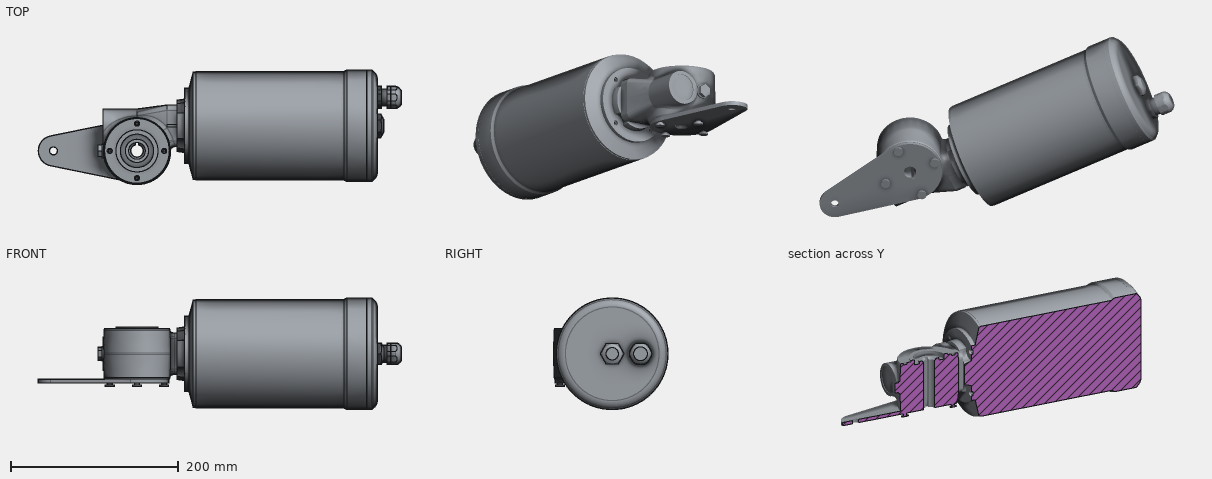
import cadquery as cq
import math


gear_y = -30.0
gear_mid_radius = 40.2
parting_band = 1.5
gear_end_radius = 39.5
gear_half_height = 30.3
gear_chamfer = 1.7
rim_radius = 25.0
rim_height = 1.7
recess_radius = 20.0
recess_floor_z = 25.5
hub_radius = 14.0
hub_top_z = 28.5
hub_mouth_radius = 10.0
bore_radius = 7.5
keyway_width = 4.0
keyway_reach = 10.0
bolt_offset = 32.5
bolt_hole_diameter = 6.0
bolt_hole_depth = 2.0
bolt_socket_diameter = 3.25
bolt_socket_depth = 2.0

oil_boss_radius = 17.0 / 2
oil_boss_end_x = -41.5
oil_plug_corners = 15.5
oil_plug_end_x = -46.5

arm_thickness = 4.8
arm_length = 99.5
arm_big_radius = 38.0
arm_eye_radius = 18.0
arm_hole_diameter = 9.0
screw_shank_radius = 3.25
screw_head_radius = 11.0 / 2
screw_head_height = 2.0
screw_length = 4.1

worm_radius = 40.2 / 2
worm_end_x = -40.5
worm_cap_radius = 32.5 / 2
worm_cap_depth = 1.0
worm_fillet = 5.5
seam_tolerance = 0.005
flange_start_x = 36.0
flange_width = 49.7
flange_corner = 6.5
flange_groove_width = 2.5
flange_groove_depth = 0.5
collar_start_x = 47.5
collar_front_radius = 30.5
collar_back_radius = 32.0
collar_scallop_radius = 11.0

ring_start_x = 56.5
ring_radius = 45.0
cone_start_x = 62.0
cone_end_x = 67.0
shell_start_x = 70.0
nose_radius = 64.0
shell_radius = 64.5
cap_start_x = 246.5
cap_radius = 66.5
cap_lip_length = 3.5
cap_groove_x = 273.5
cap_groove_width = 1.0
cap_groove_depth = 0.2
cap_bevel_x = 280.0
cap_bevel = 2.0
cap_face_radius = 56.0
motor_end_x = 286.5
motor_screw_y = 26.0
motor_screw_z = 27.0

gland_y = 33.7
gland_flats = 25.5
gland_radius = 13.5
gland_base_length = 4.8
gland_neck_radius = 10.5
gland_nut_x = 298.0
gland_groove_x = 302.0
gland_groove_width = 1.0
gland_groove_depth = 1.0
gland_dome_x = 308.0
gland_dome_mid = (312.0, 11.5)
gland_tip_radius = 8.2
gland_end_x = 315.0
plug_flats = 24.5
plug_hex_length = 4.0
plug_shoulder_length = 5.0
plug_shoulder_radius = 12.0
plug_length = 8.0
plug_top_radius = 7.5


def solid_along_x(profile, y=0):
    """Revolve an (x, radius) profile about a line parallel to X."""
    return profile.close().revolve(360, (0, 0, 0), (1, 0, 0)).translate((0, y, 0))


def cylinder_x(start, end, radius, y=0, z=0):
    return cq.Workplane("YZ", origin=(start, y, z)).circle(radius).extrude(end - start)


def cylinder_z(bottom, top, radius, x=0, y=gear_y):
    return cq.Workplane("XY", origin=(x, y, bottom)).circle(radius).extrude(top - bottom)


def hex_x(start, end, corners, y=0, turn=0):
    """Hexagonal prism along X; with no turn its corners point along Y."""
    prism = cq.Workplane("YZ", origin=(start, y, 0)).polygon(6, corners).extrude(end - start)
    return prism.rotate((0, y, 0), (1, y, 0), turn)


def across_corners(flats):
    return flats / math.cos(math.pi / 6)


def gear_body():
    """Two drafted halves of the gearbox with chamfered end faces."""
    shoulder_z = gear_half_height - gear_chamfer
    face_radius = gear_end_radius - gear_chamfer / 2
    profile = [
        (0, -gear_half_height),
        (face_radius, -gear_half_height),
        (gear_end_radius, -shoulder_z),
        (gear_mid_radius, -parting_band / 2),
        (gear_mid_radius, parting_band / 2),
        (gear_end_radius, shoulder_z),
        (face_radius, gear_half_height),
        (0, gear_half_height),
    ]
    body = cq.Workplane("XZ").polyline(profile).close().revolve(360, (0, 0, 0), (0, 1, 0))
    return body.translate((0, gear_y, 0))


def lies_on_gear(edge):
    """True where an edge follows the cylindrical side of the gear body without running along Z."""
    points = [edge.positionAt(step / 4) for step in range(5)]
    distances = [math.hypot(point.x, point.y - gear_y) for point in points]
    on_side = all(abs(distance - gear_end_radius) < seam_tolerance for distance in distances)
    between_ends = abs(edge.Center().z) < gear_half_height
    return on_side and between_ends and edge.geomType() != "LINE"


def blended_worm_housing():
    """Worm housing and flange, joined to the gear side with a fillet along the whole seam."""
    shoulder_z = gear_half_height - gear_chamfer
    core_half_height = gear_half_height + worm_fillet
    core = cylinder_z(-core_half_height, core_half_height, gear_end_radius)
    tube = cylinder_x(2 * worm_end_x, 0, worm_radius)
    joined = core.union(worm_flange()).union(tube)
    seam = [edge for edge in joined.edges().vals() if lies_on_gear(edge)]
    blended = joined.newObject(seam).fillet(worm_fillet)
    kept_length = collar_start_x - worm_end_x
    kept = cq.Workplane("XY").box(kept_length, 4 * gear_end_radius + flange_width, 2 * shoulder_z)
    recess = cylinder_x(worm_end_x, worm_end_x + worm_cap_depth, worm_cap_radius)
    return blended.intersect(kept.translate((worm_end_x + kept_length / 2, 0, 0))).cut(recess)


def worm_flange():
    """Worm housing widening into the square flange that carries the motor collar."""
    square = cq.Sketch().rect(flange_width, flange_width).vertices().fillet(flange_corner)
    flange_place = cq.Location(cq.Vector(0, 0, flange_start_x))
    transition = (
        cq.Workplane("YZ")
        .placeSketch(cq.Sketch().circle(worm_radius), square.moved(flange_place))
        .loft()
    )
    flange = (
        cq.Workplane("YZ", origin=(flange_start_x, 0, 0))
        .placeSketch(square)
        .extrude(collar_start_x - flange_start_x)
    )
    groove_z = flange_width / 2 - flange_groove_depth
    grooves = (
        cq.Workplane("XY")
        .box(collar_start_x - flange_start_x, flange_groove_width, flange_width)
        .cut(cq.Workplane("XY").box(flange_width, flange_width, 2 * groove_z))
        .translate(((flange_start_x + collar_start_x) / 2, 0, 0))
    )
    return transition.union(flange.cut(grooves))


def motor_screw_points():
    return [(y, z) for y in (-motor_screw_y, motor_screw_y) for z in (-motor_screw_z, motor_screw_z)]


def motor_collar():
    """Slightly conical collar, scalloped to clear the four motor screws."""
    collar = solid_along_x(
        cq.Workplane("XY")
        .moveTo(collar_start_x, 0)
        .lineTo(collar_start_x, collar_front_radius)
        .lineTo(ring_start_x, collar_back_radius)
        .lineTo(ring_start_x, 0)
    )
    for y, z in motor_screw_points():
        collar = collar.cut(cylinder_x(collar_start_x, ring_start_x, collar_scallop_radius, y, z))
    return collar


def gearbox_bolt_points():
    """Four places around the output shaft, as (x, y)."""
    angles = [math.radians(90 * step) for step in range(4)]
    return [(bolt_offset * math.cos(a), gear_y + bolt_offset * math.sin(a)) for a in angles]


def output_rim():
    """Raised rim on the upper face, still without its recess."""
    return cylinder_z(0, gear_half_height + rim_height, rim_radius)


def cut_output(body):
    """Sink the recess around the hub, and cut the keyed bore and the bolt holes."""
    top = gear_half_height + rim_height
    recess = cylinder_z(recess_floor_z, top, recess_radius)
    recess = recess.cut(cylinder_z(recess_floor_z, hub_top_z, hub_radius))
    mouth_depth = hub_mouth_radius - bore_radius
    mouth = cq.Workplane(
        cq.Solid.makeCone(
            bore_radius, hub_mouth_radius, mouth_depth, cq.Vector(0, gear_y, hub_top_z - mouth_depth)
        )
    )
    bore_bottom = -gear_half_height - arm_thickness
    bore = cylinder_z(bore_bottom, top, bore_radius)
    keyway = (
        cq.Workplane("XY", origin=(0, gear_y, bore_bottom))
        .center(0, keyway_reach / 2)
        .rect(keyway_width, keyway_reach)
        .extrude(top - bore_bottom)
    )
    body = body.cut(recess).cut(mouth).cut(bore).cut(keyway)
    for x, y in gearbox_bolt_points():
        hole_floor = gear_half_height - bolt_hole_depth
        socket_floor = hole_floor - bolt_socket_depth
        body = body.cut(cylinder_z(hole_floor, gear_half_height, bolt_hole_diameter / 2, x, y))
        body = body.cut(cylinder_z(socket_floor, hole_floor, bolt_socket_diameter / 2, x, y))
    return body


def oil_plug():
    """Hexagon plug on a round boss at the -X side of the gear body."""
    boss = cylinder_x(oil_boss_end_x, -bolt_offset, oil_boss_radius, gear_y)
    head = hex_x(oil_plug_end_x, oil_boss_end_x, oil_plug_corners, gear_y, turn=30)
    return boss.union(head)


def torque_arm():
    """Tapered plate under the gearbox with an eye at its -X end."""
    taper = (arm_big_radius - arm_eye_radius) / arm_length
    spread = math.sqrt(1 - taper**2)
    eye_x = -arm_length
    big_tangent = (-arm_big_radius * taper, arm_big_radius * spread)
    eye_tangent = (eye_x - arm_eye_radius * taper, arm_eye_radius * spread)
    plate = (
        cq.Workplane("XY", origin=(0, gear_y, -gear_half_height - arm_thickness))
        .moveTo(*big_tangent)
        .lineTo(*eye_tangent)
        .threePointArc((eye_x - arm_eye_radius, 0), (eye_tangent[0], -eye_tangent[1]))
        .lineTo(big_tangent[0], -big_tangent[1])
        .threePointArc((arm_big_radius, 0), big_tangent)
        .close()
        .extrude(arm_thickness)
    )
    hole = cylinder_z(-gear_half_height - arm_thickness, -gear_half_height, arm_hole_diameter / 2, eye_x)
    return plate.cut(hole)


def torque_arm_screws():
    """Screws below the torque arm, each a shank with a wider head."""
    screws = cq.Workplane("XY")
    arm_bottom = -gear_half_height - arm_thickness
    screw_bottom = arm_bottom - screw_length
    for x, y in gearbox_bolt_points():
        screws = screws.union(cylinder_z(screw_bottom, arm_bottom, screw_shank_radius, x, y))
        head_top = screw_bottom + screw_head_height
        screws = screws.union(cylinder_z(screw_bottom, head_top, screw_head_radius, x, y))
    return screws


def motor():
    """Motor shell with its mounting ring, conical nose and rounded rear cap."""
    groove_end_x = cap_groove_x + cap_groove_width
    groove_radius = cap_radius - cap_groove_depth
    round_start_x = cap_bevel_x + cap_bevel
    round_length = motor_end_x - round_start_x
    round_height = cap_radius - cap_bevel - cap_face_radius
    round_radius = (round_length**2 + round_height**2) / (2 * round_length)
    profile = (
        cq.Workplane("XY")
        .moveTo(ring_start_x, 0)
        .lineTo(ring_start_x, ring_radius)
        .lineTo(cone_start_x, ring_radius)
        .lineTo(cone_end_x, nose_radius)
        .lineTo(shell_start_x, nose_radius)
        .lineTo(shell_start_x, shell_radius)
        .lineTo(cap_start_x, shell_radius)
        .lineTo(cap_start_x + cap_lip_length, cap_radius)
        .lineTo(cap_groove_x, cap_radius)
        .lineTo(cap_groove_x, groove_radius)
        .lineTo(groove_end_x, groove_radius)
        .lineTo(groove_end_x, cap_radius)
        .lineTo(cap_bevel_x, cap_radius)
        .lineTo(round_start_x, cap_radius - cap_bevel)
        .radiusArc((motor_end_x, cap_face_radius), round_radius)
        .lineTo(motor_end_x, 0)
    )
    body = solid_along_x(profile)
    for y, z in motor_screw_points():
        hole_floor = ring_start_x + bolt_hole_depth
        socket_floor = hole_floor + bolt_socket_depth
        body = body.cut(cylinder_x(ring_start_x, hole_floor, bolt_hole_diameter / 2, y, z))
        body = body.cut(cylinder_x(hole_floor, socket_floor, bolt_socket_diameter / 2, y, z))
    return body


def cable_gland():
    """Cable gland: hexagon base, round neck and a domed nut with six small flats."""
    base_end_x = motor_end_x + gland_base_length
    groove_end_x = gland_groove_x + gland_groove_width
    groove_radius = gland_radius - gland_groove_depth
    profile = (
        cq.Workplane("XY")
        .moveTo(motor_end_x, 0)
        .lineTo(motor_end_x, gland_radius)
        .lineTo(base_end_x, gland_radius)
        .lineTo(base_end_x, gland_neck_radius)
        .lineTo(gland_nut_x, gland_neck_radius)
        .lineTo(gland_nut_x, gland_radius)
        .lineTo(gland_groove_x, gland_radius)
        .lineTo(gland_groove_x, groove_radius)
        .lineTo(groove_end_x, groove_radius)
        .lineTo(groove_end_x, gland_radius)
        .lineTo(gland_dome_x, gland_radius)
        .threePointArc(gland_dome_mid, (gland_end_x, gland_tip_radius))
        .lineTo(gland_end_x, 0)
    )
    flats = hex_x(motor_end_x, gland_end_x, across_corners(gland_flats), gland_y)
    return solid_along_x(profile, gland_y).intersect(flats)


def rear_plug():
    """Hexagon plug in the middle of the rear cap, tapered towards its end."""
    plug_end_x = motor_end_x + plug_length
    corners = across_corners(plug_flats)
    taper = (
        cq.Workplane("XY")
        .moveTo(motor_end_x, 0)
        .lineTo(motor_end_x, corners / 2)
        .lineTo(motor_end_x + plug_hex_length, corners / 2)
        .lineTo(motor_end_x + plug_shoulder_length, plug_shoulder_radius)
        .lineTo(plug_end_x, plug_top_radius)
        .lineTo(plug_end_x, 0)
    )
    return solid_along_x(taper).intersect(hex_x(motor_end_x, plug_end_x, corners))


gearbox = gear_body().union(oil_plug()).union(blended_worm_housing()).union(output_rim())
gearbox = cut_output(gearbox.union(torque_arm())).union(torque_arm_screws())
drive = motor().union(motor_collar()).union(cable_gland()).union(rear_plug())
result = gearbox.union(drive)